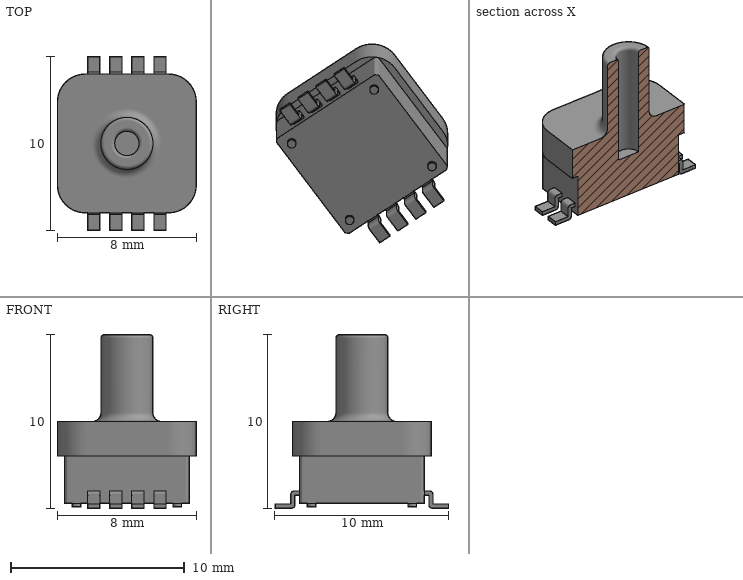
import cadquery as cq

TOTAL_HEIGHT = 10.0
CAP_TOP = 5.0
CAP_BOTTOM = 3.0
BODY_BOTTOM = 0.28

CAP_WIDTH = 8.0
CAP_CORNER_RADIUS = 1.6

BODY_WIDTH = 7.2
BODY_CHAMFER = 0.16
BODY_CHAMFER_ROUND = 0.1

PORT_RADIUS = 1.5
PORT_ROOT_FILLET = 0.5
PORT_RIM_FILLET = 0.2
BORE_RADIUS = 0.7

STANDOFF_RADIUS = 0.25
STANDOFF_HEIGHT = 0.2
STANDOFF_SPACING = 5.8

LEADS_PER_SIDE = 4
LEAD_PITCH = 1.27
LEAD_WIDTH = 0.71
LEAD_THICKNESS = 0.25
LEAD_TOP = 1.0
LEAD_BEND_RADIUS = 0.2
LEAD_TIP_SPAN = 10.0
LEAD_FOOT_LENGTH = 0.9
LEAD_EMBED = 0.1


def make_cap():
    cap = cq.Workplane("XY", origin=(0, 0, CAP_BOTTOM))
    cap = cap.rect(CAP_WIDTH, CAP_WIDTH).extrude(CAP_TOP - CAP_BOTTOM)
    return cap.edges("|Z").fillet(CAP_CORNER_RADIUS)


def make_body():
    body = cq.Workplane("XY", origin=(0, 0, BODY_BOTTOM))
    body = body.rect(BODY_WIDTH, BODY_WIDTH).extrude(CAP_BOTTOM - BODY_BOTTOM)
    body = body.edges("|Z").chamfer(BODY_CHAMFER)
    return body.edges("|Z").fillet(BODY_CHAMFER_ROUND)


def make_port():
    """Port tube, revolved, with a concave root flare and a rounded outer rim."""
    root_radius = PORT_RADIUS + PORT_ROOT_FILLET
    rim_radius = PORT_RADIUS - PORT_RIM_FILLET
    return (
        cq.Workplane("XZ")
        .moveTo(0, CAP_TOP)
        .lineTo(root_radius, CAP_TOP)
        .radiusArc((PORT_RADIUS, CAP_TOP + PORT_ROOT_FILLET), PORT_ROOT_FILLET)
        .lineTo(PORT_RADIUS, TOTAL_HEIGHT - PORT_RIM_FILLET)
        .radiusArc((rim_radius, TOTAL_HEIGHT), -PORT_RIM_FILLET)
        .lineTo(0, TOTAL_HEIGHT)
        .close()
        .revolve(360, (0, 0), (0, 1))
    )


def make_bore():
    """Bore through the port and the cap, ending on the body, with a rounded mouth."""
    mouth_radius = BORE_RADIUS + PORT_RIM_FILLET
    return (
        cq.Workplane("XZ")
        .moveTo(0, CAP_BOTTOM)
        .lineTo(BORE_RADIUS, CAP_BOTTOM)
        .lineTo(BORE_RADIUS, TOTAL_HEIGHT - PORT_RIM_FILLET)
        .radiusArc((mouth_radius, TOTAL_HEIGHT), PORT_RIM_FILLET)
        .lineTo(0, TOTAL_HEIGHT)
        .close()
        .revolve(360, (0, 0), (0, 1))
    )


def make_standoffs():
    return (
        cq.Workplane("XY", origin=(0, 0, BODY_BOTTOM))
        .rect(STANDOFF_SPACING, STANDOFF_SPACING, forConstruction=True)
        .vertices()
        .circle(STANDOFF_RADIUS)
        .extrude(-STANDOFF_HEIGHT)
    )


def make_lead(x):
    """Z-shaped lead on the +Y side, centred on x, with rounded outer bends."""
    tip = LEAD_TIP_SPAN / 2
    outer_face = tip - LEAD_FOOT_LENGTH
    inner_face = outer_face - LEAD_THICKNESS
    root = BODY_WIDTH / 2 - LEAD_EMBED
    return (
        cq.Workplane("YZ", origin=(x, 0, 0))
        .moveTo(tip, 0)
        .lineTo(tip, LEAD_THICKNESS)
        .lineTo(outer_face, LEAD_THICKNESS)
        .lineTo(outer_face, LEAD_TOP - LEAD_BEND_RADIUS)
        .radiusArc((outer_face - LEAD_BEND_RADIUS, LEAD_TOP), -LEAD_BEND_RADIUS)
        .lineTo(root, LEAD_TOP)
        .lineTo(root, LEAD_TOP - LEAD_THICKNESS)
        .lineTo(inner_face, LEAD_TOP - LEAD_THICKNESS)
        .lineTo(inner_face, LEAD_BEND_RADIUS)
        .radiusArc((inner_face + LEAD_BEND_RADIUS, 0), -LEAD_BEND_RADIUS)
        .close()
        .extrude(LEAD_WIDTH / 2, both=True)
    )


result = make_cap().union(make_body()).union(make_port()).cut(make_bore())
result = result.union(make_standoffs())

for index in range(LEADS_PER_SIDE):
    lead_x = (index - (LEADS_PER_SIDE - 1) / 2) * LEAD_PITCH
    lead = make_lead(lead_x)
    result = result.union(lead).union(lead.mirror("XZ"))